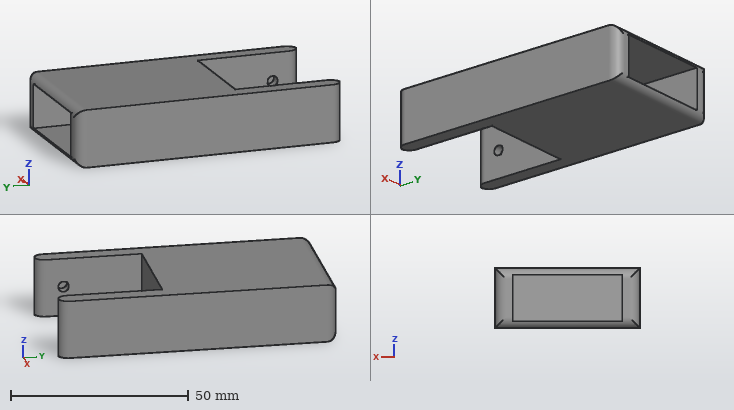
import cadquery as cq
import math

width = 41.0
length = 79.95
height = 17.0
back_y = length / 2
tip_y = -length / 2

round_radius = 3.0

arm_width = 5.0
slot_depth = 30.5
slot_width = width - 2 * arm_width
slot_floor_y = tip_y + slot_depth

cavity_wall = 2.0
cavity_height = height - 2 * cavity_wall
cavity_depth = back_y - slot_floor_y - cavity_wall

pivot_diameter = 3.0
pivot_depth = 3.0
pivot_from_tip = 8.0
pivot_rise = 0.15


def rounded_back_block(edge_direction):
    """Full-size block with its two back edges along one direction rounded."""
    block = cq.Workplane("XY").box(width, length, height)
    return block.edges(f"|{edge_direction} and >Y").fillet(round_radius)


def arc_advance(distance):
    """How far a tip arc has run towards the tip, at a distance inwards from the side of the arm."""
    return math.sqrt(round_radius**2 - (round_radius - distance) ** 2)


def arm(side):
    """Arm running from the slot floor to its tip, where two arcs meet at the centre line."""
    half_width = arm_width / 2
    quarter_width = arm_width / 4
    arc_start_y = tip_y + arc_advance(half_width)
    arc_middle_y = arc_start_y - arc_advance(quarter_width)
    return (
        cq.Workplane("XY", origin=(side * (width - arm_width) / 2, 0, -height / 2))
        .moveTo(-half_width, slot_floor_y)
        .lineTo(-half_width, arc_start_y)
        .threePointArc((-quarter_width, arc_middle_y), (0, tip_y))
        .threePointArc((quarter_width, arc_middle_y), (half_width, arc_start_y))
        .lineTo(half_width, slot_floor_y)
        .close()
        .extrude(height)
    )


def body():
    """Block behind the slot; its rounded back edges meet in mitred corners."""
    rounded_block = rounded_back_block("X").intersect(rounded_back_block("Z"))
    fork_space = cq.Workplane("XY").box(width, slot_depth, height)
    return rounded_block.cut(fork_space.translate((0, tip_y + slot_depth / 2, 0)))


def cavity():
    space = cq.Workplane("XY").box(slot_width, cavity_depth, cavity_height)
    return space.translate((0, back_y - cavity_depth / 2, 0))


def pivot_holes():
    """One bar across the slot that reaches the same depth into both arms."""
    return (
        cq.Workplane("YZ")
        .center(tip_y + pivot_from_tip, pivot_rise)
        .circle(pivot_diameter / 2)
        .extrude(slot_width / 2 + pivot_depth, both=True)
    )


result = body().union(arm(-1)).union(arm(1))
result = result.cut(cavity()).cut(pivot_holes())